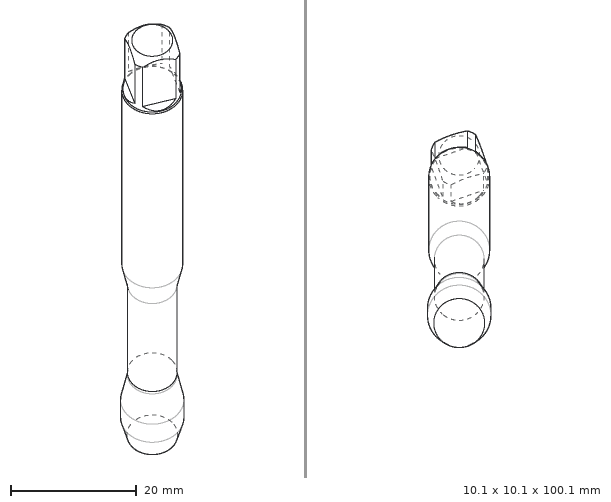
import cadquery as cq

total_length = 100.1

head_diameter = 10.1
tip_diameter = 8.1
lead_top = 4.4
thread_top = 9.0
head_cone_top = 15.3
head_top = 15.9

neck_diameter = 7.9
shank_diameter = 9.7
neck_top = 38.2
shank_bottom = 43.3
shank_top = 87.5

drive_diameter = 9.3
drive_width = 7.5
drive_top_diameter = 6.5
drive_end_chamfer = (drive_diameter - drive_top_diameter) / 2
flat_bottom = 88.8
shoulder_chamfer = (shank_diameter - drive_diameter) / 2


def revolve_profile(points):
    """Turn a closed (radius, height) outline about the Z axis."""
    return cq.Workplane("XZ").polyline(points).close().revolve(360, (0, 0), (0, 1))


def make_head():
    """Tapered lead, thread land and back cone ending in a short neck stub."""
    return revolve_profile([
        (0, 0),
        (tip_diameter / 2, 0),
        (head_diameter / 2, lead_top),
        (head_diameter / 2, thread_top),
        (neck_diameter / 2, head_cone_top),
        (neck_diameter / 2, head_top),
        (0, head_top),
    ])


def make_flat_cutter():
    """Material removed beside one drive flat, with a 45 degree run-out at its foot."""
    flat_distance = drive_width / 2
    outer = shank_diameter
    run_out = outer - flat_distance
    return (
        cq.Workplane("XZ")
        .polyline([
            (flat_distance, total_length),
            (flat_distance, flat_bottom),
            (outer, flat_bottom - run_out),
            (outer, total_length),
        ])
        .close()
        .extrude(shank_diameter, both=True)
    )


def make_shank():
    """Neck, shank and drive turned in one piece, then four flats cut on the drive."""
    shank = revolve_profile([
        (0, head_top),
        (neck_diameter / 2, head_top),
        (neck_diameter / 2, neck_top),
        (shank_diameter / 2, shank_bottom),
        (shank_diameter / 2, shank_top),
        (drive_diameter / 2, shank_top + shoulder_chamfer),
        (drive_diameter / 2, total_length - drive_end_chamfer),
        (drive_top_diameter / 2, total_length),
        (0, total_length),
    ])
    cutter = make_flat_cutter()
    for angle in (0, 90, 180, 270):
        shank = shank.cut(cutter.rotate((0, 0, 0), (0, 0, 1), angle))
    return shank


head = make_head()
shank = make_shank()

result = cq.Compound.makeCompound([head.val(), shank.val()])